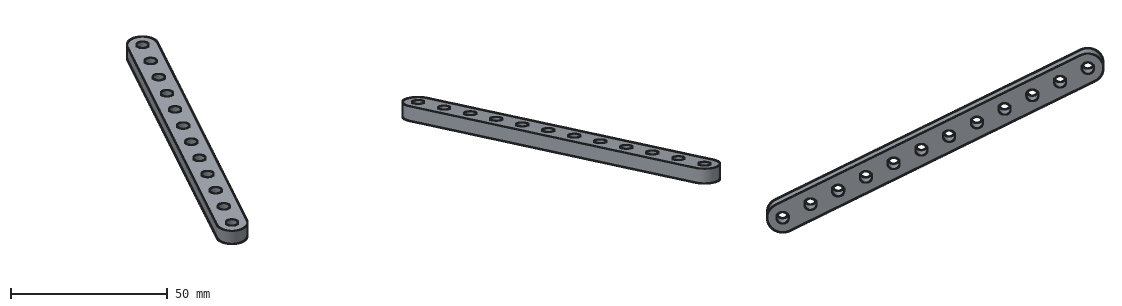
import cadquery as cq

hole_count = 12
hole_pitch = 10.0
hole_diameter = 3.9
bar_width = 10.0
bar_thickness = 5.0

bar_length = (hole_count - 1) * hole_pitch + bar_width


def make_bar():
    """Bar with full-radius ends, centred in X and Y, resting on Z = 0."""
    return cq.Workplane("XY").slot2D(bar_length, bar_width).extrude(bar_thickness)


def drill_holes(bar):
    """Drill the row of through holes along the centreline."""
    return (
        bar.faces(">Z")
        .workplane(origin=(0, 0, bar_thickness))
        .rarray(hole_pitch, bar_width, hole_count, 1)
        .hole(hole_diameter)
    )


result = drill_holes(make_bar())